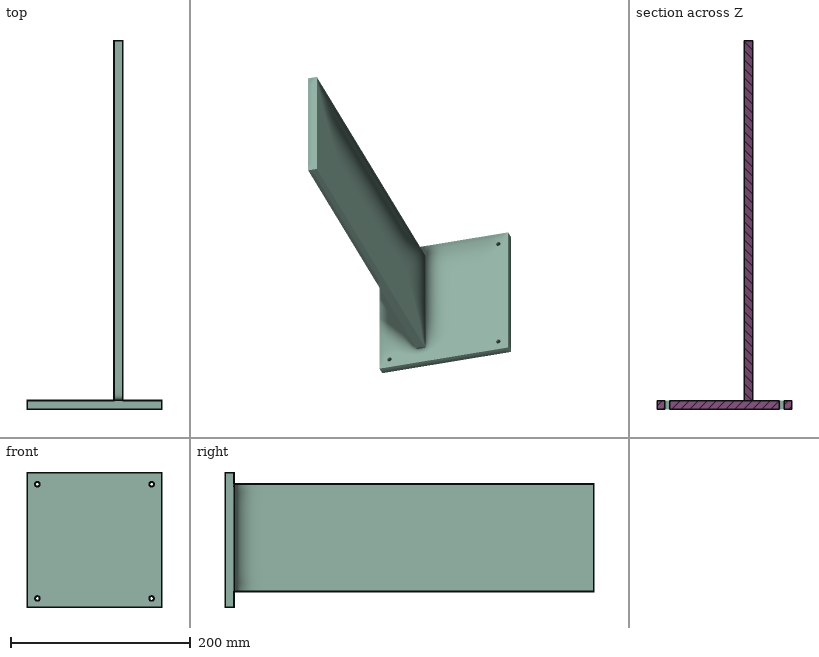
import cadquery as cq

plate_side = 150.0
plate_thickness = 10.0

hole_diameter = 5.0
hole_spacing = 127.0
hole_bottom_margin = 10.0
hole_pattern_z = hole_bottom_margin + (hole_spacing - plate_side) / 2

arm_length = 400.0
arm_height = 120.0
arm_thickness = 10.0
arm_offset_x = 26.5
arm_offset_z = 2.5


def make_plate():
    """Square plate with a square pattern of four through holes."""
    blank = cq.Workplane("XY").box(
        plate_side, plate_thickness, plate_side, centered=(True, False, True)
    )
    hole_cutters = (
        cq.Workplane("XZ")
        .center(0, hole_pattern_z)
        .rect(hole_spacing, hole_spacing, forConstruction=True)
        .vertices()
        .circle(hole_diameter / 2)
        .extrude(-plate_thickness)
    )
    return blank.cut(hole_cutters)


def make_arm():
    """Flat bar running back in +Y from the rear face of the plate."""
    bar = cq.Workplane("XY").box(
        arm_thickness, arm_length, arm_height, centered=(True, False, True)
    )
    return bar.translate((arm_offset_x, plate_thickness, arm_offset_z))


plate = make_plate()
arm = make_arm()

result = cq.Compound.makeCompound([plate.val(), arm.val()])